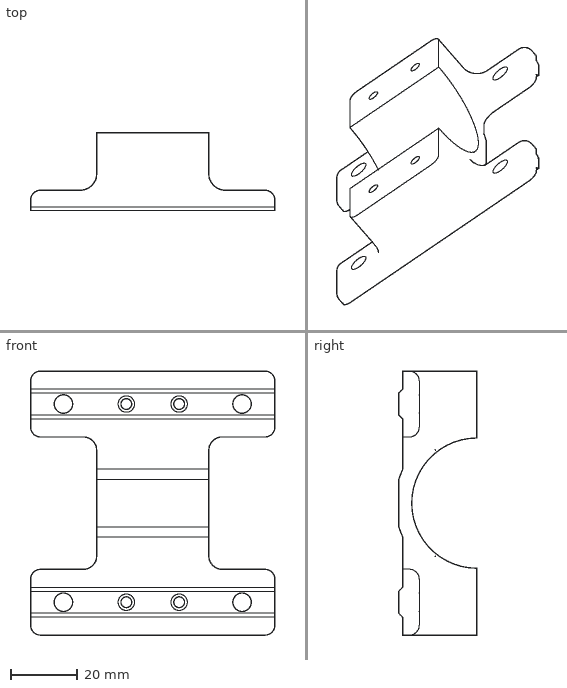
import cadquery as cq


width = 74.0
height = 80.0
body_depth = 22.5
body_width = 34.0
flange_height = 20.0
flange_thickness = 5.0
flange_z = (height - flange_height) / 2
web_height = height - 2 * flange_height

outer_radius = 3.0
web_radius = 4.0
back_radius = 5.0

rail_rise = 1.2
flange_rail_root = 9.0
flange_rail_crest = flange_rail_root - 2 * rail_rise
middle_rail_root = 20.6
middle_rail_crest = 14.4

saddle_wall = 4.0
saddle_radius = body_depth + rail_rise - saddle_wall

bolt_x = 27.0
bolt_diameter = 5.5
screw_x = 8.0
screw_diameter = 3.2
counterbore_diameter = 5.0
counterbore_depth = 10.0


def block(size_x, depth, size_z, z=0.0):
    """Box centred on X and z that starts on the mounting plane."""
    return cq.Workplane("XY").box(size_x, depth, size_z, centered=(True, False, True)).translate((0, 0, z))


def centred_box(size_x, size_z, y_min, y_max):
    """Selector for edges whose centres lie in a centred box, with a small margin."""
    margin = 0.1
    x = size_x / 2 + margin
    z = size_z / 2 + margin
    return cq.selectors.BoxSelector((-x, y_min - margin, -z), (x, y_max + margin, z))


def front_outline():
    """H outline with rounded corners, extended over the full depth."""
    outline = block(body_width, body_depth, height)
    for z in (-flange_z, flange_z):
        flange = block(width, body_depth, flange_height, z).edges("|Y").fillet(outer_radius)
        outline = outline.union(flange)
    inside_corners = centred_box(body_width, web_height, 0, body_depth)
    return outline.edges("|Y").edges(inside_corners).fillet(web_radius)


def plan_outline():
    """T outline of thin flange and deep body, extended over the full height."""
    outline = block(width, flange_thickness, height).union(block(body_width, body_depth, height))
    inside_corners = centred_box(body_width, height, flange_thickness, flange_thickness)
    return outline.edges("|Z").edges(inside_corners).fillet(back_radius)


def flanged_body():
    """Common volume of both outlines, with the back rim of flanges and body rounded."""
    body = front_outline().intersect(plan_outline())
    rim = centred_box(width, height, flange_thickness, flange_thickness)
    return body.edges("|X").edges(rim).fillet(outer_radius)


def rail(length, root, crest, z=0.0):
    """Trapezoidal rail along X on the mounting plane."""
    return (
        cq.Workplane("YZ")
        .polyline([(0, -root / 2), (-rail_rise, -crest / 2), (-rail_rise, crest / 2), (0, root / 2)])
        .close()
        .extrude(length / 2, both=True)
        .translate((0, 0, z))
    )


def drill(diameter, depth, x, z):
    """Cylinder that enters from the rail crest towards +Y."""
    return cq.Workplane("XZ", origin=(x, -rail_rise, z)).circle(diameter / 2).extrude(-depth)


result = flanged_body().union(rail(body_width, middle_rail_root, middle_rail_crest))
for z in (-flange_z, flange_z):
    result = result.union(rail(width, flange_rail_root, flange_rail_crest, z))

saddle = (
    cq.Workplane("YZ")
    .center(body_depth, 0)
    .circle(saddle_radius)
    .extrude(width / 2, both=True)
)
result = result.cut(saddle)

through_depth = body_depth + rail_rise
for z in (-flange_z, flange_z):
    for side in (-1, 1):
        result = result.cut(drill(bolt_diameter, through_depth, side * bolt_x, z))
        result = result.cut(drill(screw_diameter, through_depth, side * screw_x, z))
        result = result.cut(drill(counterbore_diameter, counterbore_depth, side * screw_x, z))